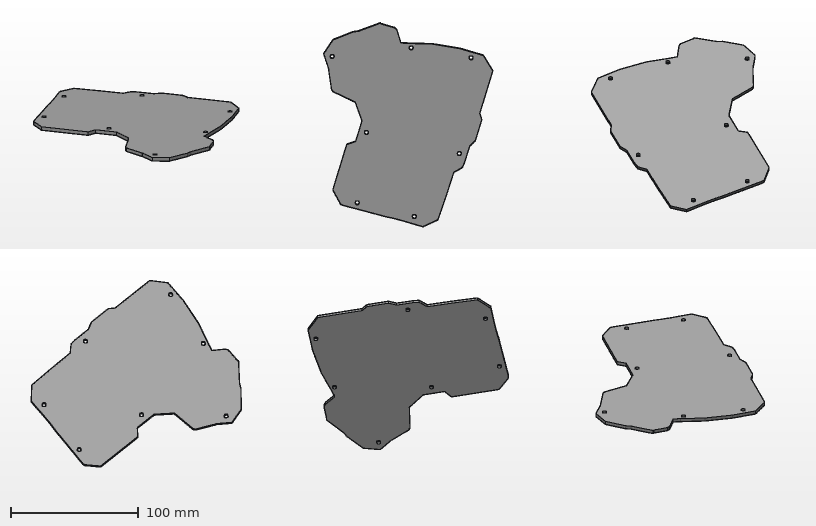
import cadquery as cq

LENGTH = 147.82
WIDTH = 133.88
THICKNESS = 3.0

SCREW_HOLE_DIAMETER = 3.1

BACK_EDGE_Y = 130.9
FRONT_EDGE_Y = 38.2
RECESS_EDGE_Y = 44.2
LEFT_EDGE_X = 1.7
RIGHT_EDGE_X = 146.35
THUMB_EDGE_X = 147.4

LEFT_SIDE = [
    (0.2, 47.4),
    (0, 49.5),
    (0.5, 65.1),
    (0.7, 72.1),
    (1.0, 83.7),
    (1.45, 89.3),
    (LEFT_EDGE_X, 96.7),
    (LEFT_EDGE_X, 114.3),
]
BACK_SIDE = [
    (9.7, 123.2),
    (10.5, 124.0),
    (30.4, 124.7),
    (50.4, 125.0),
    (54.3, 128.9),
    (56.0, 130.3),
    (60.4, 130.8),
    (73.7, BACK_EDGE_Y),
    (79.4, WIDTH),
    (96.8, WIDTH),
    (101.2, BACK_EDGE_Y),
    (136.6, BACK_EDGE_Y),
]
RIGHT_SIDE = [
    (RIGHT_EDGE_X, 120.3),
    (RIGHT_EDGE_X, 101.3),
    (143.6, 79.4),
    (138.6, 61.0),
    (137.3, 55.4),
]
THUMB_SIDE = [
    (145.9, 49.7),
    (146.9, 48.4),
    (THUMB_EDGE_X, 47.4),
    (THUMB_EDGE_X, 36.2),
    (LENGTH, 35.4),
    (136.6, 20.8),
    (134.9, 17.0),
    (124.2, 3.7),
    (111.4, 0),
    (101.1, 7.2),
    (100.4, 7.3),
    (86.0, 14.0),
    (84.7, 15.6),
    (81.6, 34.8),
]
FRONT_SIDE = [
    (68.8, RECESS_EDGE_Y),
    (51.8, RECESS_EDGE_Y),
    (47.4, FRONT_EDGE_Y),
    (9.4, FRONT_EDGE_Y),
]

SCREW_HOLES = [
    (7.6, 105.5),
    (65.9, 124.8),
    (141.8, 111.5),
    (135.8, 64.3),
    (5.2, 59.5),
    (61.0, 50.2),
    (111.4, 7.0),
]


def make_plate():
    """Flat plate with its underside on the XY plane."""
    outline = LEFT_SIDE + BACK_SIDE + RIGHT_SIDE + THUMB_SIDE + FRONT_SIDE
    return cq.Workplane("XY").polyline(outline).close().extrude(THICKNESS)


def drill_screw_holes(plate):
    """Drill every screw hole through the full thickness."""
    holes = (
        cq.Workplane("XY")
        .pushPoints(SCREW_HOLES)
        .circle(SCREW_HOLE_DIAMETER / 2)
        .extrude(THICKNESS)
    )
    return plate.cut(holes)


result = drill_screw_holes(make_plate()).translate((-LENGTH / 2, -WIDTH / 2, -THICKNESS / 2))